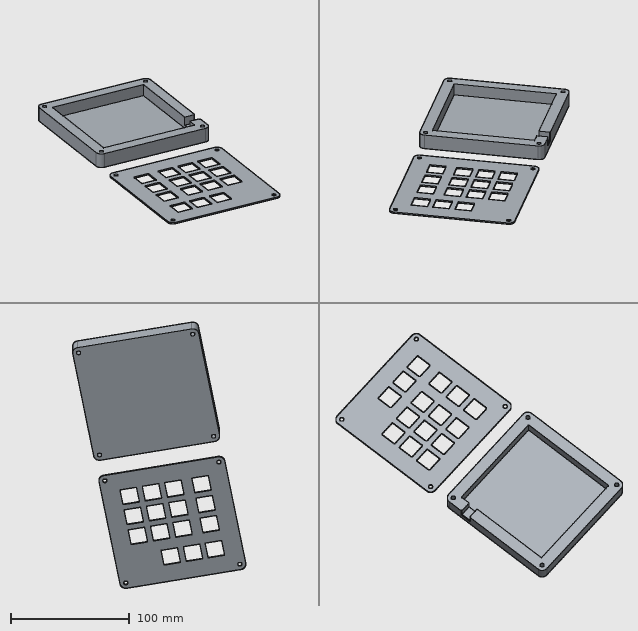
import cadquery as cq

side = 107.8
corner_radius = 5.0
screw_hole_diameter = 3.5
screw_hole_inset = 5.0
overall_length = 230.4
plate_offset = overall_length - side

case_height = 13.0
floor_thickness = 2.5
pocket_side = 88.0

slot_center_x = 31.0
slot_width = 8.8
slot_floor_height = 5.3
slot_recess_margin = 0.5
slot_recess_depth = 0.7
wall_thickness = (side - pocket_side) / 2

plate_thickness = 1.4
window_side = 14.0
window_corner_radius = 0.5
key_pitch = 19.1
bottom_row_y = -30.6
grid_left_x = -31.0
grid_columns = 3
grid_lower_y = -7.4
grid_rows = 3
side_column_x = 31.0
side_column_lower_y = -12.0
side_column_rows = 2


def rounded_panel(thickness):
    """Square panel with rounded corners and a screw hole near each corner."""
    hole_spacing = side - 2 * screw_hole_inset
    return (
        cq.Workplane("XY")
        .rect(side, side)
        .extrude(thickness)
        .edges("|Z")
        .fillet(corner_radius)
        .faces(">Z")
        .workplane()
        .rect(hole_spacing, hole_spacing, forConstruction=True)
        .vertices()
        .hole(screw_hole_diameter)
    )


def wall_notch(width, depth, floor_height):
    """Cutter for an open-topped notch, cut inward from the outer +Y face of the case."""
    return (
        cq.Workplane("XY")
        .box(width, depth, case_height - floor_height, centered=(True, False, False))
        .translate((slot_center_x, side / 2 - depth, floor_height))
    )


def make_case():
    pocket = (
        cq.Workplane("XY")
        .workplane(offset=floor_thickness)
        .rect(pocket_side, pocket_side)
        .extrude(case_height - floor_thickness)
    )
    slot = wall_notch(slot_width, wall_thickness, slot_floor_height)
    slot_recess = wall_notch(
        slot_width + 2 * slot_recess_margin, slot_recess_depth, slot_floor_height - slot_recess_margin
    )
    return rounded_panel(case_height).cut(pocket).cut(slot).cut(slot_recess)


def window_centers():
    """Centres of all the key windows, relative to the centre of the plate."""
    grid_x = [grid_left_x + column * key_pitch for column in range(grid_columns)]
    grid_y = [bottom_row_y] + [grid_lower_y + row * key_pitch for row in range(grid_rows)]
    side_y = [bottom_row_y] + [side_column_lower_y + row * key_pitch for row in range(side_column_rows)]
    return [(x, y) for x in grid_x for y in grid_y] + [(side_column_x, y) for y in side_y]


def make_switch_plate():
    windows = (
        cq.Workplane("XY")
        .pushPoints(window_centers())
        .rect(window_side, window_side)
        .extrude(plate_thickness)
        .edges("|Z")
        .fillet(window_corner_radius)
    )
    return rounded_panel(plate_thickness).cut(windows).translate((plate_offset, 0, 0))


case = make_case()
switch_plate = make_switch_plate()

result = cq.Compound.makeCompound([case.val(), switch_plate.val()])